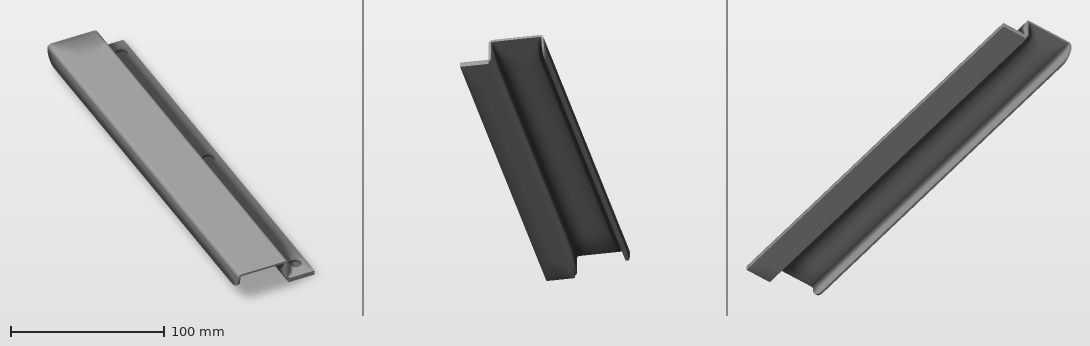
import cadquery as cq

length = 279.5
depth = 55.5
height = 18.0

sheet = 1.5
strip_thickness = 1.7
inner_radius = 1.0
outer_radius = inner_radius + sheet
flange_depth = 19.0
lip_height = 12.9
lip_corner_radius = 9.5

hole_diameter = 8.0
hole_end_offset = 12.5
hole_edge_offset = 7.8
hole_spacing = length / 2 - hole_end_offset

flange_bottom = strip_thickness
flange_top = flange_bottom + sheet
wall_rear = depth - flange_depth
wall_front = wall_rear - sheet
lip_bottom = height - lip_height


def bent_sheet():
    """Extrude the folded cross-section, then round all of its bends."""
    profile = [
        (depth, flange_bottom),
        (wall_front, flange_bottom),
        (wall_front, height - sheet),
        (sheet, height - sheet),
        (sheet, lip_bottom),
        (0, lip_bottom),
        (0, height),
        (wall_rear, height),
        (wall_rear, flange_top),
        (depth, flange_top),
    ]
    body = cq.Workplane("YZ").polyline(profile).close().extrude(length / 2, both=True)
    outer_corners = [(wall_front, flange_bottom), (0, height), (wall_rear, height)]
    inner_corners = [(wall_front, height - sheet), (sheet, height - sheet), (wall_rear, flange_top)]
    for corners, radius in ((outer_corners, outer_radius), (inner_corners, inner_radius)):
        for y, z in corners:
            body = body.edges(cq.NearestToPointSelector((0, y, z))).fillet(radius)
    return body


def round_lip_corners(body):
    """Round the two lower corners of the front lip."""
    for x in (-length / 2, length / 2):
        corner = cq.NearestToPointSelector((x, sheet / 2, lip_bottom))
        body = body.edges(corner).fillet(lip_corner_radius)
    return body


def mounting_holes():
    """Cutters for the row of holes through the rear flange."""
    return (
        cq.Workplane("XY", origin=(0, depth - hole_edge_offset, flange_bottom))
        .pushPoints([(step * hole_spacing, 0) for step in (-1, 0, 1)])
        .circle(hole_diameter / 2)
        .extrude(sheet)
    )


def make_strip():
    """Plain strip that closes the holes from below."""
    return cq.Workplane("XY").box(
        length, flange_depth, strip_thickness, centered=(True, False, False)
    ).translate((0, wall_rear, 0))


bracket = round_lip_corners(bent_sheet()).cut(mounting_holes())
strip = make_strip()

result = cq.Compound.makeCompound([bracket.val(), strip.val()])